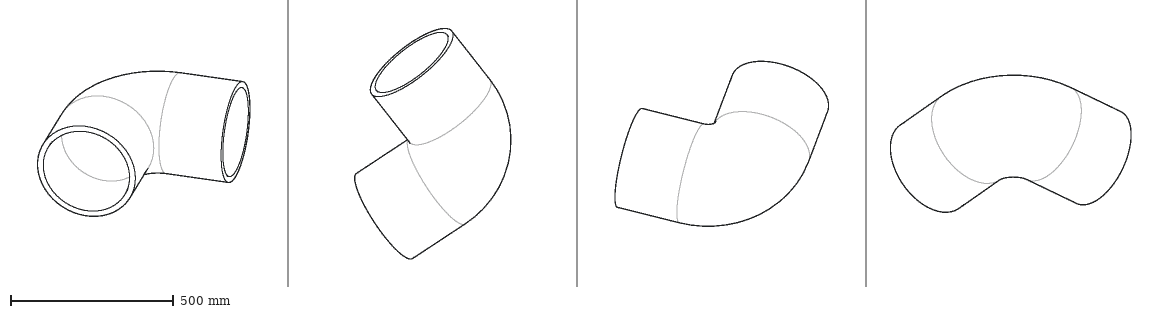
import cadquery as cq
import math

overall_length = 527.5
outer_diameter = 315.0
inner_diameter = 277.5
leg_length = 200.0

bend_radius = overall_length - leg_length - outer_diameter / 2
bend_midpoint = bend_radius * math.sin(math.radians(45))

centreline = (
    cq.Workplane("XY")
    .moveTo(-bend_radius, -leg_length)
    .lineTo(-bend_radius, 0)
    .threePointArc((-bend_midpoint, bend_midpoint), (0, bend_radius))
    .lineTo(leg_length, bend_radius)
)

pipe_section = (
    cq.Workplane("XZ", origin=(-bend_radius, -leg_length, 0))
    .circle(outer_diameter / 2)
    .circle(inner_diameter / 2)
)
result = pipe_section.sweep(centreline)